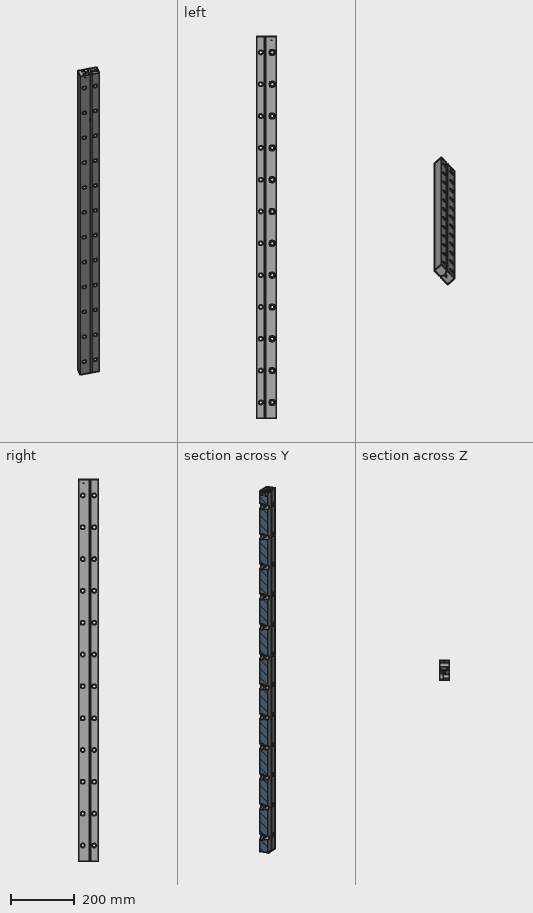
import cadquery as cq


length = 1200.0
width = 30.0
height = 62.0
half_width = width / 2
half_height = height / 2

tongue_root_half = 8.0
tongue_land_y = 2.6
tongue_tip_y = -0.6
land_gap = 0.8
tip_clearance = 1.0
side_chamfer = 5.0

relief_half = 1.8
relief_depth = 7.8

hole_count = 12
hole_pitch = length / hole_count
hole_offset_y = 18.0
hole_diameter = 12.0
counterbore_diameter = 18.0
counterbore_depth = 11.0

end_hole_diameter = 7.0
end_hole_depth = 12.0
tongue_end_holes = [(0, 23.0), (0, 11.0)]
groove_end_holes = [(-8.0, -15.0), (8.0, -15.0)]


def flank_half_width(y):
    """Distance of the 45 degree flank from the symmetry plane at height y."""
    return tongue_root_half - (tongue_land_y - y)


def extrude_symmetric(right_half):
    """Extrude the outline made of a right half and its mirror image over the full length."""
    left_half = [(-x, y) for x, y in reversed(right_half)]
    return cq.Workplane("XY").polyline(right_half + left_half).close().extrude(length)


def cross_hole_cutters(y, diameter, depth):
    """Row of cylinders starting on the -X side and running along +X."""
    centers = [(0, (i + 0.5) * hole_pitch) for i in range(hole_count)]
    side = cq.Workplane("YZ", origin=(-half_width, y, 0))
    return side.pushPoints(centers).circle(diameter / 2).extrude(depth)


def end_hole_cutters(centers):
    """Cylinders sunk from the top end face."""
    end_face = cq.Workplane("XY", origin=(0, 0, length))
    return end_face.pushPoints(centers).circle(end_hole_diameter / 2).extrude(-end_hole_depth)


def make_tongue_rail():
    """Rail on the +Y side, with the tongue and chamfered lower corners."""
    body = extrude_symmetric([
        (flank_half_width(tongue_tip_y), tongue_tip_y),
        (tongue_root_half, tongue_land_y),
        (half_width - side_chamfer, tongue_land_y),
        (half_width, tongue_land_y + side_chamfer),
        (half_width, half_height),
    ])
    body = body.cut(cross_hole_cutters(hole_offset_y, hole_diameter, width))
    return body.cut(end_hole_cutters(tongue_end_holes))


def make_groove_rail():
    """Rail on the -Y side, with the groove, its relief slot and counterbored holes."""
    land_y = tongue_land_y - land_gap
    floor_y = tongue_tip_y - tip_clearance
    body = extrude_symmetric([
        (half_width, -half_height),
        (half_width, land_y),
        (flank_half_width(land_y), land_y),
        (flank_half_width(floor_y), floor_y),
        (relief_half, floor_y),
        (relief_half, floor_y - relief_depth),
    ])
    body = body.cut(cross_hole_cutters(-hole_offset_y, hole_diameter, width))
    body = body.cut(cross_hole_cutters(-hole_offset_y, counterbore_diameter, counterbore_depth))
    return body.cut(end_hole_cutters(groove_end_holes))


tongue_rail = make_tongue_rail()
groove_rail = make_groove_rail()

result = cq.Compound.makeCompound([tongue_rail.solids().val(), groove_rail.solids().val()])